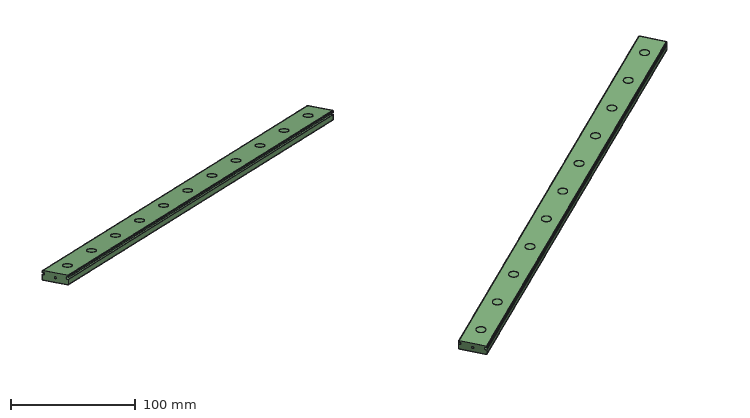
import cadquery as cq

length = 440.0
width = 24.0
height = 8.5

top_chamfer = 0.55
bottom_chamfer = 0.5
groove_radius = 1.2
groove_inset = 1.0
groove_height = 5.5

recess_count = 11
recess_pitch = length / recess_count
recess_radius = 4.0
recess_depth = 0.2

end_hole_diameter = 1.8
end_hole_depth = 4.5
end_hole_height = height / 2


def make_bar():
    """Bar along Y, centred on X and Y with its base at Z = 0, chamfered along its four long edges."""
    bar = cq.Workplane("XY").box(width, length, height, centered=(True, True, False))
    bar = bar.edges("|Y and >Z").chamfer(top_chamfer)
    return bar.edges("|Y and <Z").chamfer(bottom_chamfer)


def make_groove(side):
    """Round-bottomed ball track along one side face (-1 or +1 in X)."""
    centre_x = side * (width / 2 - groove_inset)
    start = cq.Vector(centre_x, -length / 2, groove_height)
    return cq.Solid.makeCylinder(groove_radius, length, start, cq.Vector(0, 1, 0))


def make_recesses():
    """Evenly pitched shallow discs, half a pitch in from each end."""
    return (
        cq.Workplane("XY", origin=(0, 0, height))
        .rarray(4.5, recess_pitch, 1, recess_count)
        .circle(recess_radius)
        .extrude(-recess_depth)
    )


def make_end_hole(end):
    """Cylinder running inward from the end face on the given side (-1 or +1) of Y."""
    start = cq.Vector(0, end * length / 2, end_hole_height)
    inward = cq.Vector(0, -end, 0)
    return cq.Solid.makeCylinder(end_hole_diameter / 2, end_hole_depth, start, inward)


result = make_bar().cut(make_recesses())
for direction in (-1, 1):
    result = result.cut(make_groove(direction))
    result = result.cut(make_end_hole(direction))